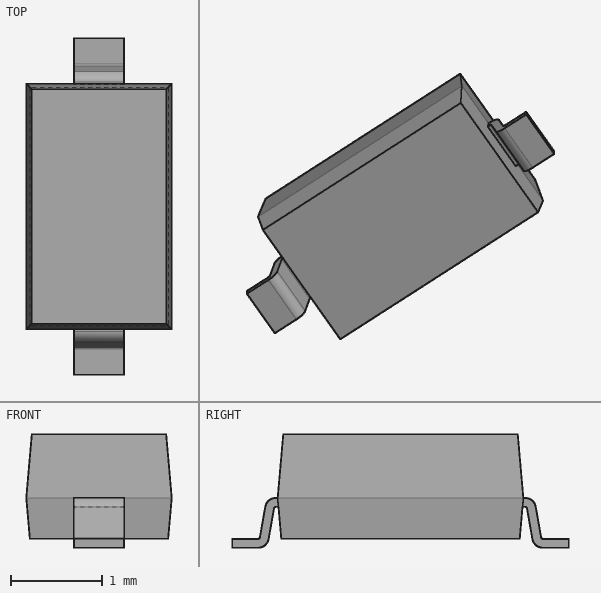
import cadquery as cq
import math

BODY_WIDTH = 1.6
BODY_LENGTH = 2.7
BODY_BOTTOM = 0.1
PARTING_HEIGHT = 0.55
BODY_TOP = 1.25
DRAFT_ANGLE = 5.0

OVERALL_LENGTH = 3.7
LEAD_WIDTH = 0.55
LEAD_THICKNESS = 0.1
LEAD_SLOPE = 10.0
INNER_BEND_RADIUS = 0.02
FOOT_LENGTH = 0.285

OUTER_BEND_RADIUS = INNER_BEND_RADIUS + LEAD_THICKNESS
LEAD_TOP = PARTING_HEIGHT
BEND_ANGLE = 90.0 - LEAD_SLOPE
TIP_Y = OVERALL_LENGTH / 2
FOOT_BEND_Y = TIP_Y - FOOT_LENGTH
FOOT_BEND_Z = OUTER_BEND_RADIUS
SHOULDER_BEND_Z = LEAD_TOP - OUTER_BEND_RADIUS


def shoulder_bend_y():
    """Y of the shoulder bend centre that makes the sloping leg tangent to both bends."""
    slope = math.radians(LEAD_SLOPE)
    radius_sum = INNER_BEND_RADIUS + OUTER_BEND_RADIUS
    rise = SHOULDER_BEND_Z - FOOT_BEND_Z
    return FOOT_BEND_Y - (radius_sum + rise * math.sin(slope)) / math.cos(slope)


def polar(center, radius, angle):
    """Point on a circle in the YZ plane, angle in degrees from +Y."""
    return (
        center[0] + radius * math.cos(math.radians(angle)),
        center[1] + radius * math.sin(math.radians(angle)),
    )


def drafted_half(end_height):
    """Half of the body, narrowing from the parting plane to its end face."""
    outline = cq.Workplane("XY", origin=(0, 0, PARTING_HEIGHT)).rect(BODY_WIDTH, BODY_LENGTH)
    return outline.extrude(end_height - PARTING_HEIGHT, taper=DRAFT_ANGLE)


def make_body():
    return drafted_half(BODY_TOP).union(drafted_half(BODY_BOTTOM))


def make_lead():
    """Lead on the +Y end, running from the drafted body face to its foot."""
    shoulder = (shoulder_bend_y(), SHOULDER_BEND_Z)
    foot = (FOOT_BEND_Y, FOOT_BEND_Z)
    face_y = BODY_LENGTH / 2
    underside_inset = LEAD_THICKNESS * math.tan(math.radians(DRAFT_ANGLE))

    shoulder_end = 90 - BEND_ANGLE
    shoulder_middle = 90 - BEND_ANGLE / 2
    foot_start = 270 - BEND_ANGLE
    foot_middle = 270 - BEND_ANGLE / 2

    profile = (
        cq.Workplane("YZ", origin=(-LEAD_WIDTH / 2, 0, 0))
        .moveTo(face_y, LEAD_TOP)
        .lineTo(shoulder[0], LEAD_TOP)
        .threePointArc(
            polar(shoulder, OUTER_BEND_RADIUS, shoulder_middle),
            polar(shoulder, OUTER_BEND_RADIUS, shoulder_end),
        )
        .lineTo(*polar(foot, INNER_BEND_RADIUS, foot_start))
        .threePointArc(
            polar(foot, INNER_BEND_RADIUS, foot_middle),
            polar(foot, INNER_BEND_RADIUS, 270),
        )
        .lineTo(TIP_Y, LEAD_THICKNESS)
        .lineTo(TIP_Y, 0)
        .lineTo(FOOT_BEND_Y, 0)
        .threePointArc(
            polar(foot, OUTER_BEND_RADIUS, foot_middle),
            polar(foot, OUTER_BEND_RADIUS, foot_start),
        )
        .lineTo(*polar(shoulder, INNER_BEND_RADIUS, shoulder_end))
        .threePointArc(
            polar(shoulder, INNER_BEND_RADIUS, shoulder_middle),
            polar(shoulder, INNER_BEND_RADIUS, 90),
        )
        .lineTo(face_y - underside_inset, LEAD_TOP - LEAD_THICKNESS)
        .close()
    )
    return profile.extrude(LEAD_WIDTH)


body = make_body()

leads = []
for turn in (0, 180):
    lead = make_lead().rotate((0, 0, 0), (0, 0, 1), turn)
    leads.append(lead.val())

result = cq.Compound.makeCompound([body.val(), *leads])